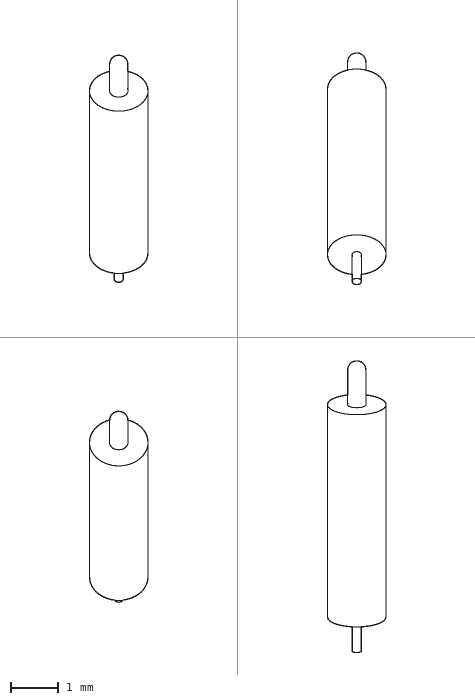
import cadquery as cq

total_length = 6.48
tail_length = 0.765
barrel_length = 4.75
barrel_top = tail_length + barrel_length

barrel_diameter = 1.23
tail_diameter = 0.195
plunger_diameter = 0.39

plunger_radius = plunger_diameter / 2


def make_barrel():
    """Plain cylinder with a thin solder tail below it."""
    tail = cq.Workplane("XY").circle(tail_diameter / 2).extrude(tail_length)
    return (
        tail.faces(">Z")
        .workplane()
        .circle(barrel_diameter / 2)
        .extrude(barrel_length)
    )


def make_plunger():
    """Round pin standing on the barrel's top face, with a hemispherical tip."""
    shank_length = total_length - barrel_top
    return (
        cq.Workplane("XY", origin=(0, 0, barrel_top))
        .circle(plunger_radius)
        .extrude(shank_length - plunger_radius)
        .union(
            cq.Workplane("XY", origin=(0, 0, total_length - plunger_radius))
            .sphere(plunger_radius)
        )
    )


barrel = make_barrel()
plunger = make_plunger()

result = cq.Compound.makeCompound([barrel.val(), plunger.val()])